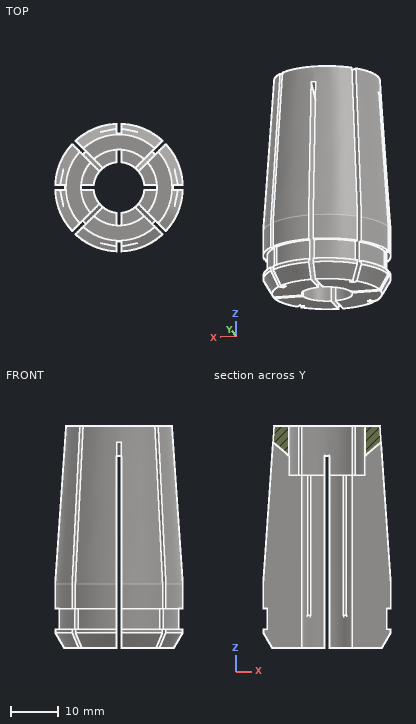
import cadquery as cq
import math

total_height = 46.85
nose_bottom_radius = 11.55
nose_height = 3.25
flange_radius = 13.45
flange_top = 4.05
groove_radius = 12.65
groove_top = 8.35
body_radius = 13.5
taper_start = 13.65
top_radius = 11.2

bore_radius = 5.35
counterbore_radius = 8.0
counterbore_floor = 36.5

slot_count = 4
slot_width = 1.0
saw_radius = 32.8
low_slot_end_bore = 40.45
low_slot_end_rim = 43.37
high_slot_floor_bore = 7.0
high_slot_floor_rim_radius = 10.35


def collet_body():
    """Revolve the outer profile and bore it through with a step."""
    profile = (
        cq.Workplane("XZ")
        .moveTo(0, 0)
        .lineTo(nose_bottom_radius, 0)
        .lineTo(flange_radius, nose_height)
        .lineTo(flange_radius, flange_top)
        .lineTo(groove_radius, flange_top)
        .lineTo(groove_radius, groove_top)
        .lineTo(body_radius, groove_top)
        .lineTo(body_radius, taper_start)
        .lineTo(top_radius, total_height)
        .lineTo(0, total_height)
        .close()
    )
    body = profile.revolve(360, (0, 0, 0), (0, 1, 0))
    bore = cq.Workplane("XY").circle(bore_radius).extrude(total_height)
    counterbore = (
        cq.Workplane("XY", origin=(0, 0, counterbore_floor))
        .circle(counterbore_radius)
        .extrude(total_height - counterbore_floor)
    )
    return body.cut(bore).cut(counterbore)


def slot_wall_reach(circle_radius):
    """Distance from the axis at which a slot wall meets a circle about the axis."""
    return math.sqrt(circle_radius**2 - (slot_width / 2) ** 2)


def radial_slot(open_height, end_bore, end_rim):
    """Slot from an open height to an end sawn as an arc between two (radius, height) points."""
    half_chord = math.dist(end_bore, end_rim) / 2
    arc_depth = saw_radius - math.sqrt(saw_radius**2 - half_chord**2)
    rise = end_rim[1] - end_bore[1]
    sagitta = math.copysign(arc_depth, rise)
    return (
        cq.Workplane("XZ")
        .moveTo(0, open_height)
        .lineTo(0, end_bore[1])
        .lineTo(*end_bore)
        .sagittaArc(end_rim, sagitta)
        .lineTo(body_radius, end_rim[1])
        .lineTo(body_radius, open_height)
        .close()
        .extrude(slot_width / 2, both=True)
    )


taper_per_height = (body_radius - top_radius) / (total_height - taper_start)
low_slot_rim_radius = top_radius + taper_per_height * (total_height - low_slot_end_rim)
low_slot = radial_slot(
    open_height=0,
    end_bore=(slot_wall_reach(counterbore_radius), low_slot_end_bore),
    end_rim=(low_slot_rim_radius, low_slot_end_rim),
)
high_slot = radial_slot(
    open_height=total_height,
    end_bore=(slot_wall_reach(bore_radius), high_slot_floor_bore),
    end_rim=(high_slot_floor_rim_radius, 0),
)

slot_pitch = 360 / slot_count
result = collet_body()
for index in range(slot_count):
    low_angle = index * slot_pitch
    high_angle = low_angle + slot_pitch / 2
    result = result.cut(low_slot.rotate((0, 0, 0), (0, 0, 1), low_angle))
    result = result.cut(high_slot.rotate((0, 0, 0), (0, 0, 1), high_angle))